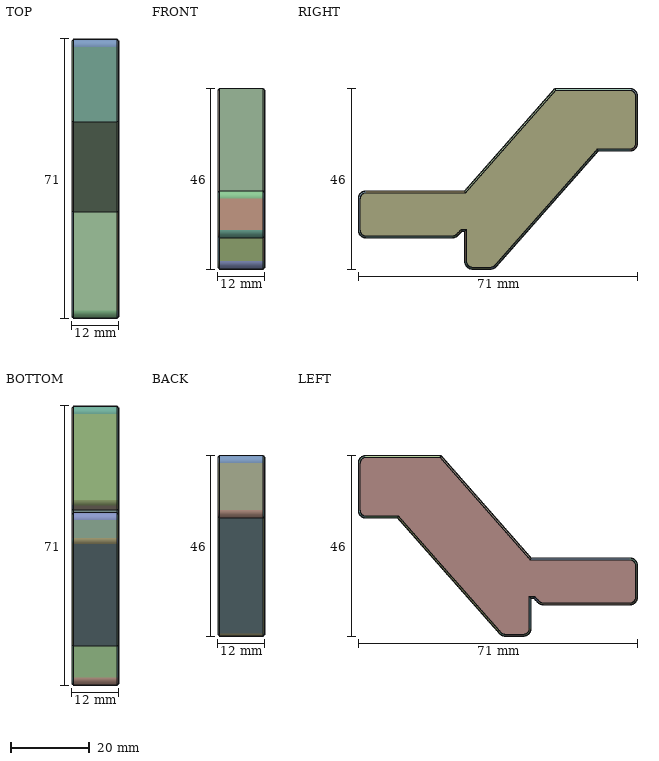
import cadquery as cq

width = 12.0
length = 71.0
height = 46.0
corner_radius = 2.0
edge_chamfer = 0.5

arm_bottom = 7.95
arm_thickness = 12.0
arm_top = arm_bottom + arm_thickness
arm_length = 27.05

relief_width = 0.65
relief_depth = 1.7
relief_top = arm_bottom + relief_depth
relief_end = arm_length - relief_width
slope_end = relief_end - relief_depth
foot_back = 34.5

head_bottom = 30.0
head_top_length = 21.0
head_bottom_length = 10.0

profile = (
    cq.Workplane("YZ")
    .moveTo(0, arm_bottom)
    .lineTo(0, arm_top)
    .lineTo(arm_length, arm_top)
    .lineTo(length - head_top_length, height)
    .lineTo(length, height)
    .lineTo(length, head_bottom)
    .lineTo(length - head_bottom_length, head_bottom)
    .lineTo(foot_back, 0)
    .lineTo(arm_length, 0)
    .lineTo(arm_length, relief_top)
    .lineTo(relief_end, relief_top)
    .lineTo(slope_end, arm_bottom)
    .close()
)
body = profile.extrude(width / 2, both=True)


def edge_at(y, z):
    """Select the X-direction edge standing at the profile point (y, z)."""
    return body.edges("|X").edges(cq.selectors.NearestToPointSelector((0, y, z))).val()


rounded_corners = [
    (0, arm_bottom),
    (0, arm_top),
    (length, height),
    (length, head_bottom),
    (foot_back, 0),
    (arm_length, 0),
    (slope_end, arm_bottom),
]
corner_edges = [edge_at(y, z) for y, z in rounded_corners]
body = body.newObject(corner_edges).fillet(corner_radius)

body = body.faces("<X or >X").chamfer(edge_chamfer)

result = body.translate((0, -length / 2, 0))